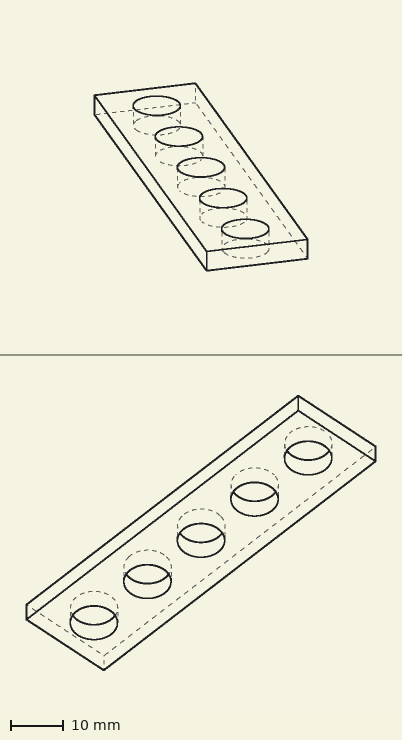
import cadquery as cq

length = 76.0
width = 20.0
thickness = 4.0

hole_count = 5
hole_diameter = 9.0
hole_pitch = 15.0

bar = cq.Workplane("XY").box(length, width, thickness)

result = (
    bar.faces(">Z")
    .workplane()
    .rarray(hole_pitch, width, hole_count, 1)
    .hole(hole_diameter)
)